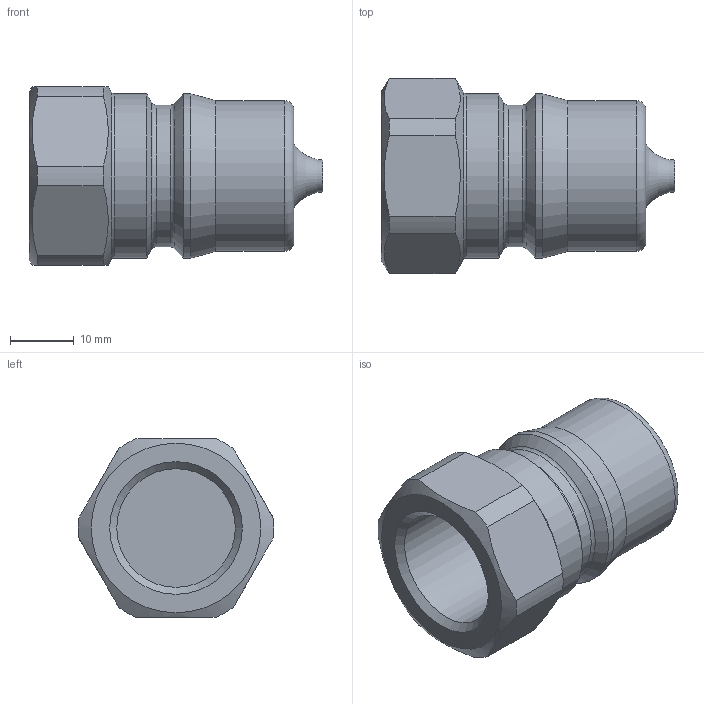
import cadquery as cq
import math

hexagon_sides = 6
across_flats = 28.0
corner_radius = 15.35
face_radius = 13.3
front_chamfer_length = 1.25
back_chamfer_start = 11.6

length = 46.0
collar_radius = 12.87
collar_end = 18.4
collar_fillet = 0.5
groove_radius = 11.12
groove_fillet = 0.9
ridge_start = 24.2
ridge_end = 25.35
barrel_radius = 11.83
barrel_end = 41.5
barrel_fillet = 1.5

steep_angle = math.radians(60)
groove_exit_angle = math.radians(45)
ridge_taper_angle = math.radians(15)

nose_base_radius = 5.05
nose_tip_radius = 2.5

bore_radius = 9.3
bore_mouth_radius = 10.4
bore_chamfer_angle = math.radians(45)
bore_depth = 18.0


def run(rise, angle):
    """Axial length of a cone that changes radius by rise."""
    return rise / math.tan(angle)


def revolve_about_x(profile):
    """Close a half outline lying above the X axis and spin it a full turn."""
    return profile.close().revolve(axisStart=(0, 0, 0), axisEnd=(1, 0, 0))


def arc_to(profile, start, end, radius, concave):
    """Add an arc from start to end that dips toward the axis when concave."""
    chord = math.dist(start, end)
    sagitta = radius - math.sqrt(radius**2 - (chord / 2) ** 2)
    return profile.sagittaArc(end, -sagitta if concave else sagitta)


def shoulder_fillet(profile, corner, angle, radius, descending):
    """Add the concave blend between a cone at the given angle and a cylinder."""
    tangent = radius * math.tan(angle / 2)
    side = -1 if descending else 1
    on_cone = (
        corner[0] + side * tangent * math.cos(angle),
        corner[1] + tangent * math.sin(angle),
    )
    on_cylinder = (corner[0] - side * tangent, corner[1])
    if descending:
        start, end = on_cone, on_cylinder
    else:
        start, end = on_cylinder, on_cone
    return arc_to(profile.lineTo(*start), start, end, radius, concave=True)


def turned_envelope():
    """Outer turned shape, with the nut end still round."""
    collar_start = back_chamfer_start + run(corner_radius - collar_radius, steep_angle)
    groove_start = collar_end + run(collar_radius - groove_radius, steep_angle)
    groove_end = ridge_start - run(collar_radius - groove_radius, groove_exit_angle)
    barrel_start = ridge_end + run(collar_radius - barrel_radius, ridge_taper_angle)

    profile = (
        cq.Workplane("XY")
        .moveTo(0, 0)
        .lineTo(0, face_radius)
        .lineTo(front_chamfer_length, corner_radius)
        .lineTo(back_chamfer_start, corner_radius)
    )
    collar_corner = (collar_start, collar_radius)
    profile = shoulder_fillet(profile, collar_corner, steep_angle, collar_fillet, descending=True)
    profile = profile.lineTo(collar_end, collar_radius)
    groove_entry = (groove_start, groove_radius)
    groove_exit = (groove_end, groove_radius)
    profile = shoulder_fillet(profile, groove_entry, steep_angle, groove_fillet, descending=True)
    profile = shoulder_fillet(profile, groove_exit, groove_exit_angle, groove_fillet, descending=False)
    profile = (
        profile.lineTo(ridge_start, collar_radius)
        .lineTo(ridge_end, collar_radius)
        .lineTo(barrel_start, barrel_radius)
        .lineTo(barrel_end - barrel_fillet, barrel_radius)
    )
    fillet_start = (barrel_end - barrel_fillet, barrel_radius)
    fillet_end = (barrel_end, barrel_radius - barrel_fillet)
    profile = arc_to(profile, fillet_start, fillet_end, barrel_fillet, concave=False)

    nose_length = length - barrel_end
    nose_rise = nose_base_radius - nose_tip_radius
    nose_arc_radius = (nose_length**2 + nose_rise**2) / (2 * nose_rise)
    nose_base = (barrel_end, nose_base_radius)
    nose_tip = (length, nose_tip_radius)
    profile = arc_to(profile.lineTo(*nose_base), nose_base, nose_tip, nose_arc_radius, concave=True)
    return revolve_about_x(profile.lineTo(length, 0))


def hexagon_bar():
    """Hexagonal bar along X with flats at top and bottom, corners on the Y axis."""
    across_corners = across_flats / math.cos(math.pi / hexagon_sides)
    return cq.Workplane("YZ").polygon(hexagon_sides, across_corners).extrude(length)


def bore():
    """Flat-bottomed bore with a chamfered mouth."""
    chamfer_length = run(bore_mouth_radius - bore_radius, bore_chamfer_angle)
    profile = (
        cq.Workplane("XY")
        .moveTo(0, 0)
        .lineTo(0, bore_mouth_radius)
        .lineTo(chamfer_length, bore_radius)
        .lineTo(bore_depth, bore_radius)
        .lineTo(bore_depth, 0)
    )
    return revolve_about_x(profile)


result = turned_envelope().intersect(hexagon_bar()).cut(bore())